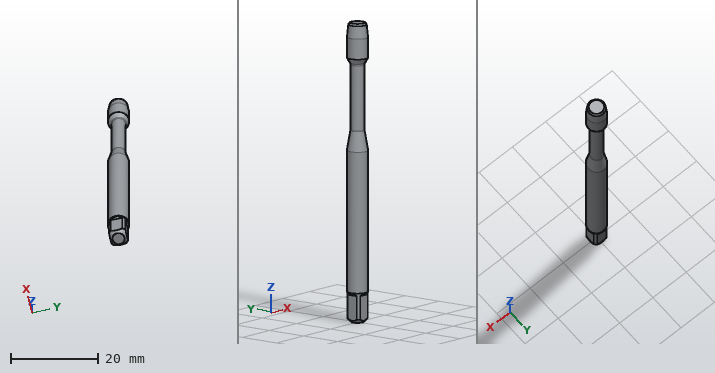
import cadquery as cq
import math

TOTAL_LENGTH = 70.2
SHANK_DIAMETER = 4.93
THREAD_DIAMETER = 4.91
NECK_DIAMETER = 3.29

SQUARE_WIDTH = 3.88
SQUARE_CORNER_DIAMETER = 4.73
SQUARE_TOP = 6.5
SHANK_BOTTOM = 7.15
END_FACE_DIAMETER = 2.8

SHANK_TOP = 40.3
THREAD_BOTTOM = 62.0
LEAD_BOTTOM = 66.85

SHANK_TAPER_ANGLE = 9.8
THREAD_CONE_ANGLE = 30.0
NECK_BLEND_RADIUS = 0.8

LEAD_TIP_DIAMETER = 4.3
TIP_CHAMFER_HEIGHT = 0.45
TIP_FACE_DIAMETER = 3.5


def neck_blend(cone_radius, cone_angle):
    """Size a cone that runs down to the neck through a tangent arc.

    Returns the radius where cone and arc meet, the axial length of the cone
    and the axial length of the arc.
    """
    angle = math.radians(cone_angle)
    meeting_radius = NECK_DIAMETER / 2 + NECK_BLEND_RADIUS * (1 - math.cos(angle))
    cone_length = (cone_radius - meeting_radius) / math.tan(angle)
    arc_length = NECK_BLEND_RADIUS * math.sin(angle)
    return meeting_radius, cone_length, arc_length


def make_body():
    """Revolve the half profile (radius, height) around Z."""
    end_radius = END_FACE_DIAMETER / 2
    corner_radius = SQUARE_CORNER_DIAMETER / 2
    shank_radius = SHANK_DIAMETER / 2
    neck_radius = NECK_DIAMETER / 2
    thread_radius = THREAD_DIAMETER / 2
    end_chamfer = corner_radius - end_radius
    shank_chamfer = shank_radius - corner_radius

    taper_radius, taper_length, taper_arc = neck_blend(shank_radius, SHANK_TAPER_ANGLE)
    taper_top = SHANK_TOP + taper_length
    cone_radius, cone_length, cone_arc = neck_blend(thread_radius, THREAD_CONE_ANGLE)
    cone_bottom = THREAD_BOTTOM - cone_length

    return (
        cq.Workplane("XZ")
        .moveTo(0, 0)
        .lineTo(end_radius, 0)
        .lineTo(corner_radius, end_chamfer)
        .lineTo(corner_radius, SHANK_BOTTOM - shank_chamfer)
        .lineTo(shank_radius, SHANK_BOTTOM)
        .lineTo(shank_radius, SHANK_TOP)
        .lineTo(taper_radius, taper_top)
        .radiusArc((neck_radius, taper_top + taper_arc), NECK_BLEND_RADIUS)
        .lineTo(neck_radius, cone_bottom - cone_arc)
        .radiusArc((cone_radius, cone_bottom), NECK_BLEND_RADIUS)
        .lineTo(thread_radius, THREAD_BOTTOM)
        .lineTo(thread_radius, LEAD_BOTTOM)
        .lineTo(LEAD_TIP_DIAMETER / 2, TOTAL_LENGTH - TIP_CHAMFER_HEIGHT)
        .lineTo(TIP_FACE_DIAMETER / 2, TOTAL_LENGTH)
        .lineTo(0, TOTAL_LENGTH)
        .close()
        .revolve(360, (0, 0, 0), (0, 1, 0))
    )


def make_flat_cutter():
    """Block that mills the drive flat on the +X side, with a 45 degree run-out."""
    inner = SQUARE_WIDTH / 2
    outer = SHANK_DIAMETER
    return (
        cq.Workplane("XZ")
        .moveTo(inner, 0)
        .lineTo(outer, 0)
        .lineTo(outer, SQUARE_TOP + outer - inner)
        .lineTo(inner, SQUARE_TOP)
        .close()
        .extrude(SHANK_DIAMETER, both=True)
    )


def cut_square_drive(body):
    """Mill the four flats of the square drive."""
    cutter = make_flat_cutter()
    for quarter_turns in range(4):
        body = body.cut(cutter.rotate((0, 0, 0), (0, 0, 1), 90 * quarter_turns))
    return body


result = cut_square_drive(make_body())